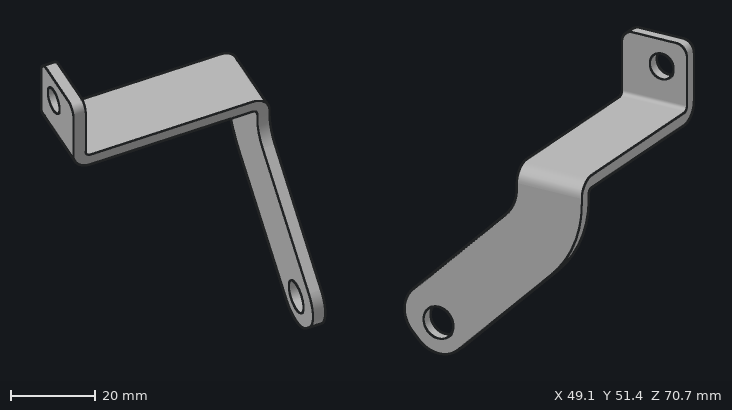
import cadquery as cq
import math

overall_x = 49.15
overall_y = 51.4
overall_z = 70.7

thickness = 3.25
strip_width = 18.05
inner_bend_radius = 1.3
outer_bend_radius = inner_bend_radius + thickness
shelf_top = 53.75
shelf_bottom = shelf_top - thickness

tab_corner_radius = 3.0
tab_hole_diameter = 6.6
tab_hole_x = 7.0
tab_hole_z = overall_z - 7.0

arm_angle = math.radians(45.4)
curve_outer_radius = 28.3
curve_inner_radius = curve_outer_radius - strip_width
tip_corner_radius = 7.8
arm_hole_diameter = 8.2
arm_hole_x = 39.75
arm_hole_z = 8.0

sin_arm = math.sin(arm_angle)
cos_arm = math.cos(arm_angle)
near_corner_offset = curve_inner_radius + tip_corner_radius
far_corner_offset = curve_outer_radius - tip_corner_radius
corner_distance = (
    overall_x - tip_corner_radius - curve_outer_radius + near_corner_offset * cos_arm
) / sin_arm
curve_center_z = tip_corner_radius + corner_distance * cos_arm + far_corner_offset * sin_arm
arm_length = corner_distance + tip_corner_radius


def arm_point(along, radius):
    """XZ point at a distance along the arm and a radial offset from the curve centre."""
    x = curve_outer_radius + along * sin_arm - radius * cos_arm
    z = curve_center_z - along * cos_arm - radius * sin_arm
    return x, z


def curve_middle(radius):
    """Point halfway round the in-plane curve at the given radius."""
    x = curve_outer_radius - radius * math.cos(arm_angle / 2)
    z = curve_center_z - radius * math.sin(arm_angle / 2)
    return x, z


def bent_sheet():
    """Z-shaped sheet section, extruded over the full X size."""
    leg_face = overall_y - thickness
    section = (
        cq.Workplane("YZ")
        .moveTo(0, overall_z)
        .lineTo(0, shelf_bottom)
        .lineTo(leg_face, shelf_bottom)
        .lineTo(leg_face, 0)
        .lineTo(overall_y, 0)
        .lineTo(overall_y, shelf_top)
        .lineTo(thickness, shelf_top)
        .lineTo(thickness, overall_z)
        .close()
        .extrude(overall_x)
    )
    outer_bends = ((0, shelf_bottom), (overall_y, shelf_top))
    inner_bends = ((thickness, shelf_top), (leg_face, shelf_bottom))
    for corners, radius in ((outer_bends, outer_bend_radius), (inner_bends, inner_bend_radius)):
        for y, z in corners:
            edge = cq.selectors.NearestToPointSelector((overall_x / 2, y, z))
            section = section.edges("|X").edges(edge).fillet(radius)
    return section


def front_outline():
    """Solid prism along Y that trims the sheet to its rounded outline."""
    prism = (
        cq.Workplane("XZ")
        .moveTo(0, overall_z)
        .lineTo(0, curve_center_z)
        .threePointArc(curve_middle(curve_outer_radius), arm_point(0, curve_outer_radius))
        .lineTo(*arm_point(arm_length, curve_outer_radius))
        .lineTo(*arm_point(arm_length, curve_inner_radius))
        .lineTo(*arm_point(0, curve_inner_radius))
        .threePointArc(curve_middle(curve_inner_radius), (strip_width, curve_center_z))
        .lineTo(strip_width, overall_z)
        .close()
        .extrude(-overall_y)
    )
    tab_corners = ((0, overall_z), (strip_width, overall_z))
    tip_corners = (
        arm_point(arm_length, curve_outer_radius),
        arm_point(arm_length, curve_inner_radius),
    )
    for corners, radius in ((tab_corners, tab_corner_radius), (tip_corners, tip_corner_radius)):
        for x, z in corners:
            edge = cq.selectors.NearestToPointSelector((x, overall_y / 2, z))
            prism = prism.edges("|Y").edges(edge).fillet(radius)
    return prism


def hole(x, z, diameter):
    """Cylinder along Y through the full depth of the part."""
    return cq.Workplane("XZ").center(x, z).circle(diameter / 2).extrude(-overall_y)


result = (
    bent_sheet()
    .intersect(front_outline())
    .cut(hole(tab_hole_x, tab_hole_z, tab_hole_diameter))
    .cut(hole(arm_hole_x, arm_hole_z, arm_hole_diameter))
)